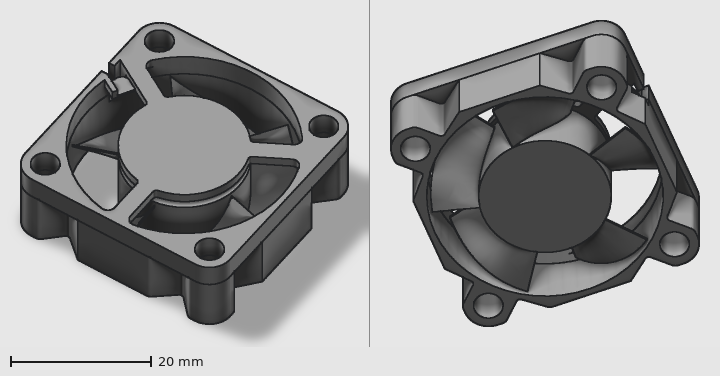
import cadquery as cq
import math

SIDE = 35.55
SIDE_COUNT = 4
HALF_SIDE = SIDE / 2
HEIGHT = 12.2
SPLIT_Z = 8.53
CORNER_RADIUS = 3.6
BORE_RADIUS = 16.85
SCREW_OFFSET = 14.25
SCREW_RADIUS = 2.1

WEB_THICKNESS = 1.5
WEB_BOTTOM = HEIGHT - WEB_THICKNESS
HUB_RADIUS = 9.45
SPOKE_WIDTH = 2.77
CABLE_SPOKE_ANGLE = 150.0
SPOKE_COUNT = 3
SPOKE_PITCH = 360 / SPOKE_COUNT
WINDOW_INNER_FILLET = 0.57
WINDOW_OUTER_FILLET = 1.2

SLOT_FLOOR = 6.9
SLOT_BOTTOM_Y = 4.87
SLOT_TOP_Y = 6.72
LIP_THICKNESS = 0.95
CHANNEL_WIDTH = 2.77
GUIDE_WIDTH = 0.85
GUIDE_START = 13.5
CHANNEL_FLOOR_THICKNESS = 0.35
SPOKE_EDGE = -SPOKE_WIDTH / 2
CHANNEL_EDGE = SPOKE_EDGE - CHANNEL_WIDTH
GUIDE_EDGE = CHANNEL_EDGE - GUIDE_WIDTH

PAD_HALF_WIDTH = 6.2
PAD_SLOPE = 40.0
POCKET_END = 12.98
COLUMN_SLOPE = 45.0
POCKET_EDGE_FILLET = 1.2
POCKET_ROOT_FILLET = 0.6
MATCH_TOLERANCE = 0.005

ROTOR_TOP = 9.45
BLADE_COUNT = 5
FIRST_BLADE_ANGLE = 36.0
BLADE_RADIUS = 16.28
BLADE_TOP = 8.8
BLADE_THICKNESS = 0.35
BLADE_MID_HEIGHT = 3.0
BLADE_ROOT_DISTANCE = 7.1
BLADE_TIP_DISTANCE = 16.35
BLADE_ROOT_HALF_WIDTH = 3.63
BLADE_TIP_HALF_WIDTH = 7.15


def cylinder(radius, bottom, top):
    return cq.Workplane().workplane(offset=bottom).circle(radius).extrude(top - bottom)


def frame_block(bottom, top):
    """Rounded square block with the four screw holes."""
    screws = [(x, y) for x in (-SCREW_OFFSET, SCREW_OFFSET) for y in (-SCREW_OFFSET, SCREW_OFFSET)]
    base = cq.Workplane().workplane(offset=bottom)
    block = base.rect(SIDE, SIDE).extrude(top - bottom).edges("|Z").fillet(CORNER_RADIUS)
    return block.cut(base.pushPoints(screws).circle(SCREW_RADIUS).extrude(top - bottom))


def beside_spoke(along, across):
    """XY point at a distance along the cable spoke and a signed distance across it."""
    angle = math.radians(CABLE_SPOKE_ANGLE)
    return (along * math.cos(angle) + across * math.sin(angle),
            along * math.sin(angle) - across * math.cos(angle))


def round_window_corners(ring, radius, fillet):
    """Fillet the vertical edges that lie at a given radius from the fan axis."""
    edges = [edge for edge in ring.edges("|Z").vals()
             if abs(math.hypot(edge.Center().x, edge.Center().y) - radius) < MATCH_TOLERANCE]
    return ring.newObject(edges).fillet(fillet)


def windows():
    """The three rounded openings between the spokes."""
    ring = cylinder(BORE_RADIUS, WEB_BOTTOM, HEIGHT).cut(cylinder(HUB_RADIUS, WEB_BOTTOM, HEIGHT))
    for i in range(SPOKE_COUNT):
        spoke = cq.Workplane().box(SIDE, SPOKE_WIDTH, SIDE).translate((HALF_SIDE, 0, 0))
        ring = ring.cut(spoke.rotate((0, 0, 0), (0, 0, 1), CABLE_SPOKE_ANGLE + i * SPOKE_PITCH))
    ring = round_window_corners(ring, BORE_RADIUS, WINDOW_OUTER_FILLET)
    return round_window_corners(ring, HUB_RADIUS, WINDOW_INNER_FILLET)


def strip_beside_spoke(first_edge, second_edge, bottom, top):
    """Block beside the cable spoke, from the inner end of the guide out past the bore."""
    outline = [beside_spoke(GUIDE_START, first_edge), beside_spoke(SIDE, first_edge),
               beside_spoke(SIDE, second_edge), beside_spoke(GUIDE_START, second_edge)]
    return cq.Workplane().workplane(offset=bottom).polyline(outline).close().extrude(top - bottom)


def cable_slot():
    """Passage for the cable from the bore out through the side wall."""
    angle = math.radians(CABLE_SPOKE_ANGLE)
    bend_along = (SLOT_BOTTOM_Y + CHANNEL_EDGE * math.cos(angle)) / math.sin(angle)
    outline = [
        (-SIDE, SLOT_BOTTOM_Y),
        beside_spoke(bend_along, CHANNEL_EDGE),
        beside_spoke(GUIDE_START, CHANNEL_EDGE),
        beside_spoke(GUIDE_START, SPOKE_EDGE),
        beside_spoke(SIDE, SPOKE_EDGE),
    ]
    return (cq.Workplane().workplane(offset=SLOT_FLOOR).polyline(outline).close()
            .extrude(HEIGHT - SLOT_FLOOR))


def slot_lip():
    """Part of the outer wall that narrows the slot mouth in the upper frame."""
    return (cq.Workplane().box(LIP_THICKNESS, HALF_SIDE - CORNER_RADIUS - SLOT_TOP_Y, HEIGHT - SPLIT_Z,
                               centered=False)
            .translate((-HALF_SIDE, SLOT_TOP_Y, SPLIT_Z)))


def make_upper_frame():
    openings = windows()
    guide = openings.intersect(strip_beside_spoke(GUIDE_EDGE, CHANNEL_EDGE, WEB_BOTTOM, HEIGHT))
    floor = openings.intersect(strip_beside_spoke(
        CHANNEL_EDGE, SPOKE_EDGE, WEB_BOTTOM, WEB_BOTTOM + CHANNEL_FLOOR_THICKNESS))
    web = cylinder(BORE_RADIUS, WEB_BOTTOM, HEIGHT).cut(openings).union(guide)
    frame = frame_block(SPLIT_Z, HEIGHT).cut(cylinder(BORE_RADIUS, SPLIT_Z, HEIGHT))
    return frame.union(web).cut(cable_slot().cut(slot_lip())).union(floor)


def round_posts(frame, points, radius):
    """Fillet the vertical edges that stand at the given XY points."""
    edges = [edge for edge in frame.edges("|Z").vals()
             if any(math.dist((edge.Center().x, edge.Center().y), p) < MATCH_TOLERANCE for p in points)]
    return frame.newObject(edges).fillet(radius)


def around_sides(x, y):
    """A point beside the -Y side, its mirror image, and both turned to all four sides."""
    return [point for s in (-x, x) for point in ((s, y), (s, -y), (y, s), (-y, s))]


def make_lower_frame():
    pad_rise = math.tan(math.radians(PAD_SLOPE))
    column_rise = math.tan(math.radians(COLUMN_SLOPE))
    pocket_depth = (POCKET_END - PAD_HALF_WIDTH) / (1 / pad_rise + 1 / column_rise)
    pad_corner = (PAD_HALF_WIDTH, -HALF_SIDE)
    root = (PAD_HALF_WIDTH + pocket_depth / pad_rise, pocket_depth - HALF_SIDE)
    column_corner = (POCKET_END, -HALF_SIDE)

    pocket = cq.Workplane().polyline([pad_corner, root, column_corner]).close().extrude(SPLIT_Z)
    pocket_pair = pocket.union(pocket.mirror("YZ"))
    frame = frame_block(0, SPLIT_Z)
    for i in range(SIDE_COUNT):
        frame = frame.cut(pocket_pair.rotate((0, 0, 0), (0, 0, 1), i * 360 / SIDE_COUNT))

    frame = round_posts(frame, around_sides(*root), POCKET_ROOT_FILLET)
    frame = round_posts(frame, around_sides(*column_corner), POCKET_EDGE_FILLET)
    frame = round_posts(frame, [pad_corner], POCKET_EDGE_FILLET)
    return frame.cut(cylinder(BORE_RADIUS, 0, SPLIT_Z)).cut(cable_slot())


def blade_section(distance, half_width):
    """Curved blade section square to the blade's middle radius, steepest at its top end."""
    return (cq.Workplane("YZ", origin=(distance, 0, 0))
            .moveTo(-half_width, BLADE_THICKNESS)
            .spline([(0, BLADE_MID_HEIGHT), (half_width, BLADE_TOP)], includeCurrent=True)
            .lineTo(half_width, BLADE_TOP - BLADE_THICKNESS)
            .spline([(0, BLADE_MID_HEIGHT - BLADE_THICKNESS), (-half_width, 0)], includeCurrent=True)
            .close().wire().val())


def make_blade():
    """One blade along +X, lofted from inside the hub and trimmed to the rotor's outer radius."""
    root = blade_section(BLADE_ROOT_DISTANCE, BLADE_ROOT_HALF_WIDTH)
    tip = blade_section(BLADE_TIP_DISTANCE, BLADE_TIP_HALF_WIDTH)
    blade = cq.Workplane(cq.Solid.makeLoft([root, tip], True))
    return blade.intersect(cylinder(BLADE_RADIUS, 0, ROTOR_TOP))


def make_rotor():
    blade = make_blade()
    rotor = cylinder(HUB_RADIUS, 0, ROTOR_TOP)
    for i in range(BLADE_COUNT):
        angle = FIRST_BLADE_ANGLE + i * 360 / BLADE_COUNT
        rotor = rotor.union(blade.rotate((0, 0, 0), (0, 0, 1), angle))
    return rotor


upper_frame = make_upper_frame()
lower_frame = make_lower_frame()
rotor = make_rotor()
result = cq.Compound.makeCompound([upper_frame.val(), lower_frame.val(), rotor.val()])